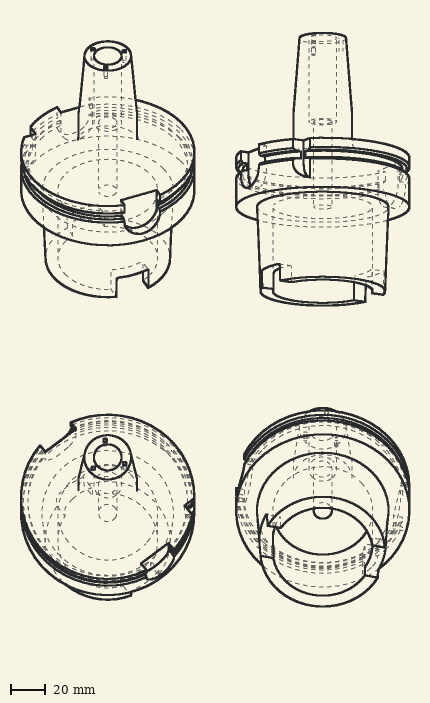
import cadquery as cq
import math

total_height = 150.0
flange_bottom_z = 50.0
flange_top_z = 79.0
neck_top_z = 105.9

flange_radius = 100.0 / 2
shank_bottom_radius = 36.0
shank_top_radius = 38.0
neck_radius = 17.0
tip_radius = 13.5
neck_fillet = 10.0

groove_bottom_z = 68.1
groove_top_z = 72.3
groove_floor_radius = 46.0
groove_chamfer = 1.4

tool_bore_radius = 8.0
tool_bore_depth = 49.5
through_bore_radius = 5.2
shank_bore_radius = 28.8
shank_bore_depth = flange_bottom_z

coolant_count = 3
coolant_radius = 1.0
coolant_circle_radius = 10.5
coolant_depth = 7.5
coolant_tip_depth = coolant_radius / math.tan(math.radians(59))

slot_floor_x = 43.8
slot_bottom_z = 55.4
left_slot_width = 20.1
right_slot_width = 22.5

notch_floor_x = -31.6
notch_wall_y = -31.5
notch_bottom_z = 55.5
notch_width = 18.6

keyway_width = 20.1
left_keyway_height = 10.0
right_keyway_height = 14.5
keyway_corner_radius = 1.4


def make_body():
    """Revolve the outside of the shank, grooved flange, neck and tapered tip."""
    fillet_start_radius = neck_radius + neck_fillet
    fillet_top_z = flange_top_z + neck_fillet
    lip_radius = flange_radius - groove_chamfer
    fillet_offset = neck_fillet * math.sqrt(0.5)
    fillet_middle = (fillet_start_radius - fillet_offset, fillet_top_z - fillet_offset)
    return (
        cq.Workplane("XZ")
        .lineTo(shank_bottom_radius, 0)
        .lineTo(shank_top_radius, flange_bottom_z)
        .lineTo(flange_radius, flange_bottom_z)
        .lineTo(flange_radius, groove_bottom_z - groove_chamfer)
        .lineTo(lip_radius, groove_bottom_z)
        .lineTo(groove_floor_radius, groove_bottom_z)
        .lineTo(groove_floor_radius, groove_top_z)
        .lineTo(lip_radius, groove_top_z)
        .lineTo(flange_radius, groove_top_z + groove_chamfer)
        .lineTo(flange_radius, flange_top_z)
        .lineTo(fillet_start_radius, flange_top_z)
        .threePointArc(fillet_middle, (neck_radius, fillet_top_z))
        .lineTo(neck_radius, neck_top_z)
        .lineTo(tip_radius, total_height)
        .lineTo(0, total_height)
        .close()
        .revolve(360, (0, 0, 0), (0, 1, 0))
    )


def bore(radius, start_z, end_z):
    """Cylinder on the part axis between two heights."""
    return cq.Workplane("XY", origin=(0, 0, start_z)).circle(radius).extrude(end_z - start_z)


def flange_slot(floor_x, side, center_y, bottom_z, width):
    """Slot open at the flange top, with a round bottom, running outward along X."""
    radius = width / 2
    center_z = bottom_z + radius
    return (
        cq.Workplane("YZ", origin=(floor_x, 0, 0))
        .moveTo(center_y - radius, flange_top_z)
        .lineTo(center_y - radius, center_z)
        .threePointArc((center_y, bottom_z), (center_y + radius, center_z))
        .lineTo(center_y + radius, flange_top_z)
        .close()
        .extrude(side * flange_radius)
    )


def keyway(side, height):
    """Keyway through one side of the shank wall, with rounded upper corners."""
    return (
        cq.Workplane("XY")
        .box(flange_radius, keyway_width, height, centered=(False, True, False))
        .edges("|X and >Z")
        .fillet(keyway_corner_radius)
        .rotate((0, 0, 0), (0, 0, 1), 0 if side > 0 else 180)
    )


def coolant_holes():
    """Blind drilled holes with conical bottoms, equally spaced around the bore."""
    hole = (
        cq.Workplane("XZ", origin=(0, coolant_circle_radius, total_height))
        .lineTo(coolant_radius, 0)
        .lineTo(coolant_radius, -coolant_depth)
        .lineTo(0, -coolant_depth - coolant_tip_depth)
        .close()
        .revolve(360, (0, 0, 0), (0, 1, 0))
    )
    holes = cq.Workplane("XY")
    for index in range(coolant_count):
        holes = holes.add(hole.rotate((0, 0, 0), (0, 0, 1), index * 360 / coolant_count))
    return holes.combine()


result = make_body()

result = result.cut(bore(shank_bore_radius, 0, shank_bore_depth))
result = result.cut(bore(through_bore_radius, 0, total_height))
result = result.cut(bore(tool_bore_radius, total_height - tool_bore_depth, total_height))
result = result.cut(coolant_holes())

result = result.cut(flange_slot(-slot_floor_x, -1, 0, slot_bottom_z, left_slot_width))
result = result.cut(flange_slot(slot_floor_x, 1, 0, slot_bottom_z, right_slot_width))
notch_center_y = notch_wall_y - notch_width / 2
result = result.cut(flange_slot(notch_floor_x, -1, notch_center_y, notch_bottom_z, notch_width))

result = result.cut(keyway(-1, left_keyway_height))
result = result.cut(keyway(1, right_keyway_height))